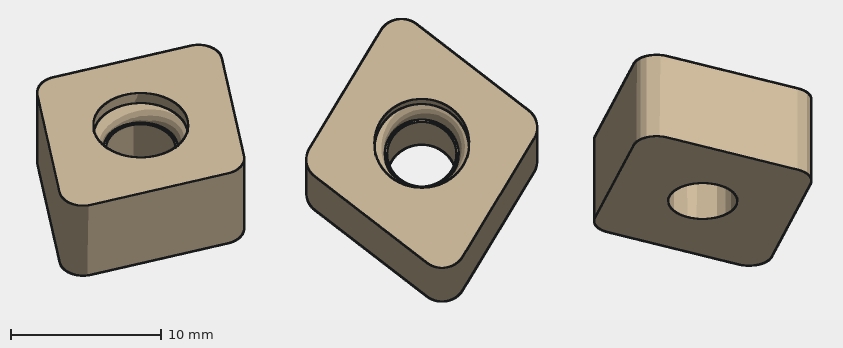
import cadquery as cq
import math

inscribed_diameter = 12.7
thickness = 6.35
acute_angle = math.radians(80)
corner_radius = 1.58

bore_diameter = 4.6
mouth_radius = 3.17
mouth_floor_radius = 3.14
mouth_depth = 0.89
throat_radius = 2.47
throat_depth = 1.85
ledge_depth = 2.03
seat_arc_radius = 1.2


def rhombic_body():
    """Rhombic prism with two sides parallel to Y and all upright edges rounded."""
    half_width = inscribed_diameter / 2
    half_side = half_width / math.sin(acute_angle)
    side_drop = half_width / math.tan(acute_angle)
    corners = [
        (-half_width, half_side + side_drop),
        (half_width, half_side - side_drop),
        (half_width, -half_side - side_drop),
        (-half_width, -half_side + side_drop),
    ]
    prism = cq.Workplane("XY").polyline(corners).close().extrude(thickness)
    return prism.edges("|Z").fillet(corner_radius)


def screw_hole():
    """Revolved hole: tapered mouth, convex screw seat, throat, ledge and through bore."""
    bore_radius = bore_diameter / 2
    mouth_floor_z = thickness - mouth_depth
    throat_z = thickness - throat_depth
    ledge_z = thickness - ledge_depth
    profile = (
        cq.Workplane("XZ")
        .lineTo(bore_radius, 0)
        .lineTo(bore_radius, ledge_z)
        .lineTo(throat_radius, ledge_z)
        .lineTo(throat_radius, throat_z)
        .radiusArc((mouth_floor_radius, mouth_floor_z), seat_arc_radius)
        .lineTo(mouth_radius, thickness)
        .lineTo(0, thickness)
        .close()
    )
    return profile.revolve(360, (0, 0, 0), (0, 1, 0))


result = rhombic_body().cut(screw_hole())